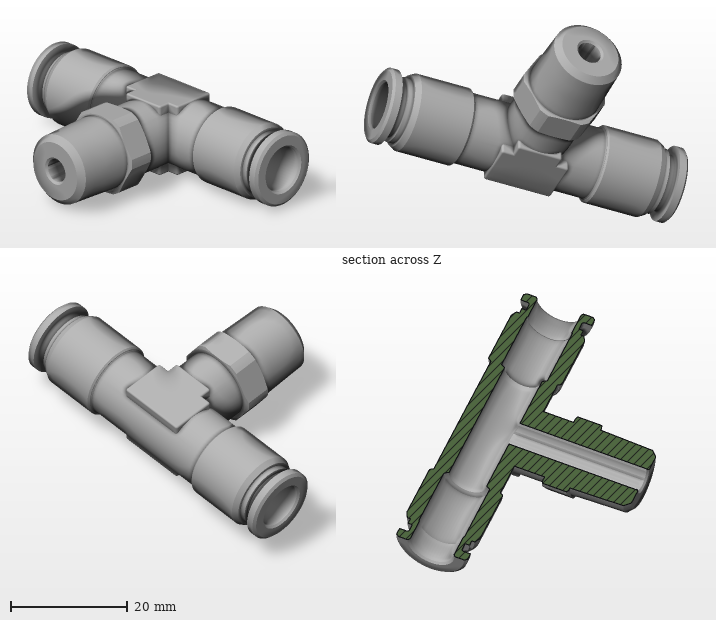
import cadquery as cq
import math

run_half_length = 27.7
body_radius = 6.27
sleeve_radius = 6.91
sleeve_inner_end = 12.4
sleeve_inner_chamfer = 0.3
sleeve_foot_chamfer = 0.2
sleeve_lip_radius = 6.35
sleeve_cone_length = 1.0
collar_radius = 5.8
collar_length = 1.0
neck_radius = 5.0
neck_length = 1.5
neck_fillet = 0.35
flange_radius = 6.7
flange_width = 1.7
flange_chamfer_length = 0.4
flange_face_radius = 6.2

through_bore_radius = 3.5
collet_bore_radius = 4.1
collet_bore_depth = 4.5
tube_seat_radius = 4.25
mouth_radius = 4.4
mouth_depth = 0.4
seat_cone_angle = 60.0

overall_depth = 34.7
branch_length = overall_depth - sleeve_radius
hex_start = 11.85
hex_end = 16.85
hex_across_flats = 14.0
hex_rounding_radius = 7.62
hex_end_radius = 7.0
hex_end_chamfer = 0.2
thread_radius = 13.157 / 2
thread_gauge_distance = 19.0
thread_taper = 1 / 16
thread_chamfer = 1.05
branch_tip_radius = 5.25

socket_across_flats = 4.0
passage_radius = 2.1
passage_mouth_radius = 2.47

pad_height = 6.5
pad_reach = 6.25
pad_half_width = 4.1
pad_corner_radius = 0.42
pad_edge_radius = 0.32


def build_run():
    """Outside of the run, turned about the X axis and alike at both ends."""
    flange_inner = run_half_length - flange_width
    collar_outer = flange_inner - neck_length
    sleeve_outer = collar_outer - collar_length
    fillet_drop = neck_fillet * (1 - math.sqrt(0.5))
    fillet_middle = (flange_inner - fillet_drop, neck_radius + fillet_drop)
    fillet_top = (flange_inner, neck_radius + neck_fillet)
    profile = (
        cq.Workplane("XY")
        .moveTo(0, 0)
        .lineTo(0, body_radius)
        .lineTo(sleeve_inner_end - sleeve_foot_chamfer, body_radius)
        .lineTo(sleeve_inner_end, body_radius + sleeve_foot_chamfer)
        .lineTo(sleeve_inner_end, sleeve_radius - sleeve_inner_chamfer)
        .lineTo(sleeve_inner_end + sleeve_inner_chamfer, sleeve_radius)
        .lineTo(sleeve_outer - sleeve_cone_length, sleeve_radius)
        .lineTo(sleeve_outer, sleeve_lip_radius)
        .lineTo(sleeve_outer, collar_radius)
        .lineTo(collar_outer, collar_radius)
        .lineTo(collar_outer, neck_radius)
        .lineTo(flange_inner - neck_fillet, neck_radius)
        .threePointArc(fillet_middle, fillet_top)
        .lineTo(flange_inner, flange_radius)
        .lineTo(run_half_length - flange_chamfer_length, flange_radius)
        .lineTo(run_half_length, flange_face_radius)
        .lineTo(run_half_length, 0)
        .close()
    )
    return both_ends(profile.revolve(360, (0, 0, 0), (1, 0, 0)))


def build_bore():
    """Bore of the run: mouth, collet bore, tube seat and through hole at both ends."""
    collet_end = run_half_length - collet_bore_depth
    seat_cone_length = (tube_seat_radius - through_bore_radius) / math.tan(math.radians(seat_cone_angle))
    profile = (
        cq.Workplane("XY")
        .moveTo(0, 0)
        .lineTo(0, through_bore_radius)
        .lineTo(sleeve_inner_end - seat_cone_length, through_bore_radius)
        .lineTo(sleeve_inner_end, tube_seat_radius)
        .lineTo(collet_end, tube_seat_radius)
        .lineTo(collet_end, collet_bore_radius)
        .lineTo(run_half_length - mouth_depth, collet_bore_radius)
        .lineTo(run_half_length, mouth_radius)
        .lineTo(run_half_length, 0)
        .close()
    )
    return both_ends(profile.revolve(360, (0, 0, 0), (1, 0, 0)))


def both_ends(half):
    """The +X half joined to a copy turned half a circle about the Z axis."""
    return half.union(half.rotate((0, 0, 0), (0, 0, 1), 180))


def turned_about_branch(points):
    """Solid turned about the Y axis from (radius, distance along -Y) points."""
    outline = [(radius, -distance) for radius, distance in points]
    return cq.Workplane("XY").polyline(outline).close().revolve(360, (0, 0, 0), (0, 1, 0))


def thread_radius_at(distance):
    """Radius of the taper thread at a distance from the run axis."""
    return thread_radius - (distance - thread_gauge_distance) * thread_taper / 2


def hexagon_bar(across_flats, start, end):
    """Hexagonal bar along -Y with two flats facing +Z and -Z."""
    across_corners = across_flats / math.cos(math.pi / 6)
    return (
        cq.Workplane("XZ", origin=(0, -start, 0))
        .polygon(6, across_corners)
        .extrude(end - start)
    )


def build_branch():
    """Round stem, taper thread with a chamfered tip, and the hexagon between them."""
    chamfer_start = branch_length - thread_chamfer
    stem = turned_about_branch([
        (0, 0),
        (body_radius, 0),
        (body_radius, hex_start),
        (thread_radius_at(hex_end), hex_end),
        (thread_radius_at(chamfer_start), chamfer_start),
        (branch_tip_radius, branch_length),
        (0, branch_length),
    ])
    corner_trim = turned_about_branch([
        (0, hex_start),
        (hex_end_radius, hex_start),
        (hex_rounding_radius, hex_start + hex_end_chamfer),
        (hex_rounding_radius, hex_end - hex_end_chamfer),
        (hex_end_radius, hex_end),
        (0, hex_end),
    ])
    nut = hexagon_bar(hex_across_flats, hex_start, hex_end).intersect(corner_trim)
    return stem.union(nut)


def build_passage():
    """Branch passage, from the run axis out to its chamfered mouth."""
    mouth_start = branch_length - (passage_mouth_radius - passage_radius)
    hole = turned_about_branch([
        (0, 0),
        (passage_radius, 0),
        (passage_radius, mouth_start),
        (passage_mouth_radius, branch_length),
        (0, branch_length),
    ])
    return hole.union(hexagon_bar(socket_across_flats, 0, mouth_start))


def build_pads():
    """T-shaped block through the crossing; its ends stand proud as the two pads."""
    outline = [
        (-pad_reach, pad_half_width),
        (-pad_reach, -pad_half_width),
        (-pad_half_width, -pad_half_width),
        (-pad_half_width, -pad_reach),
        (pad_half_width, -pad_reach),
        (pad_half_width, -pad_half_width),
        (pad_reach, -pad_half_width),
        (pad_reach, pad_half_width),
    ]
    block = (
        cq.Workplane("XY", origin=(0, 0, -pad_height))
        .polyline(outline)
        .close()
        .extrude(2 * pad_height)
    )
    outer_corners = block.edges("|Z").edges("<X or >X or <Y")
    rounded = outer_corners.fillet(pad_corner_radius)
    return rounded.faces("<Z or >Z").edges().fillet(pad_edge_radius)


outside = build_run().union(build_branch()).union(build_pads())
result = outside.cut(build_bore()).cut(build_passage())